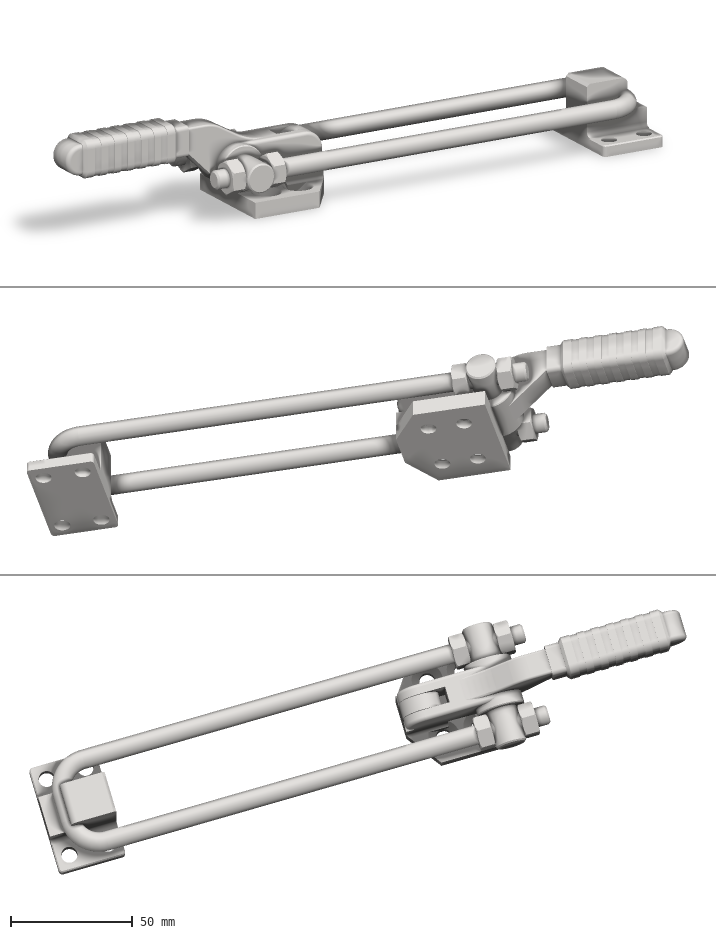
import cadquery as cq
import math

OVERALL_LENGTH = 272.88
ROD_HEIGHT = 18.0

ROD_DIAMETER = 7.99
LEG_X = 17.7
ROD_TIP_Y = -18.0
ROD_TIP_CHAMFER = 0.8
BEND_RADIUS = 12.0

CATCH_END_Y = 192.1
CATCH_WIDTH = 45.5
CATCH_LENGTH = 28.3
CATCH_HEIGHT = 27.5
FLANGE_THICKNESS = 4.9
FLANGE_CORNER_RADIUS = 1.5
FLANGE_EDGE_CHAMFER = 0.5
BLOCK_WIDTH = 17.2
BLOCK_FOOT_FILLET = 2.0
SHELF_EDGE_HEIGHT = 13.2
LIP_SETBACK = 9.1
LIP_FILLET = 2.5
BLOCK_BACK_CHAMFER = 1.2
GROOVE_RADIUS = 4.25
ROD_SETBACK = 9.6
GROOVE_OFFSET = 0.3
CATCH_HOLE_DIAMETER = 6.65
CATCH_HOLE_X = 16.5
CATCH_HOLE_PITCH = 16.5

TRUNNION_DIAMETER = 12.7
TRUNNION_LENGTH = 51.5
TRUNNION_CHAMFER = 0.6
COLLAR_DIAMETER = 20.0
COLLAR_OUTER_X = 10.5
COLLAR_CHAMFER = 0.4
ROD_HOLE_DIAMETER = 8.0

NUT_ACROSS_FLATS = 13.0
NUT_BORE = 8.0
NUT_THICKNESS = 6.3
NUT_CHAMFER_ANGLE = 30.0

BASE_FRONT_Y = -1.3
BASE_BACK_Y = 39.7
BASE_WIDTH = 45.5
BASE_THICKNESS = 7.0
BASE_BACK_HALF_WIDTH = 7.9
BASE_SHOULDER_Y = 29.1
BASE_HOLE_DIAMETER = 6.5
BASE_SINK_DIAMETER = 12.7
BASE_HOLE_X = 12.2
BASE_HOLE_YS = (10.0, 25.0)
SINK_ANGLE = 90.0
PAD_WIDTH = 17.2
PAD_BACK_Y = 10.3
PEDESTAL_WIDTH = 15.6
PEDESTAL_TOP_Z = 14.2
PEDESTAL_FOOT_FILLET = 1.3
PEDESTAL_FRONT_Y = 21.9

PIVOT_Y = 31.3
PIVOT_Z = 19.6
PIVOT_PIN_DIAMETER = 6.3
TONGUE_WIDTH = 6.4

LEVER_NOSE_RADIUS = 8.3
LEVER_WIDTH = 15.6
LEVER_EDGE_FILLET = 1.5
BOSS_WIDTH = 17.2
BOSS_RADIUS = COLLAR_DIAMETER / 2
LEVER_TOP_Z = PIVOT_Z + LEVER_NOSE_RADIUS
WIDE_ARM_END_FILLET = 2.5
SLOT_WIDTH = 6.8
SLOT_FRONT_Y = 19.9
WEB_WIDTH = 10.6
WEB_EDGE_FILLET = 0.9
BEND_ANGLE = 30.0
LOWER_BEND_START_Y = 13.4
LOWER_BEND_END_Y = 0.2
UPPER_BEND_START_Y = -7.2
UPPER_BEND_END_Y = -14.6
TANG_BOTTOM_Z = 26.6
TANG_END_Y = -72.0

GRIP_START_Y = -23.3
GRIP_BODY_START_Y = -29.3
GRIP_END_Y = CATCH_END_Y - OVERALL_LENGTH
GRIP_TOP_Z = 40.51
GRIP_WIDTH = 16.1
GRIP_HEIGHT = 16.5
GRIP_EDGE_FILLET = 3.35
GRIP_BODY_END_Y = -73.5
GRIP_BODY_CHAMFER = 1.3
COLLAR_STEP = 1.65
GROOVE_DEPTH = 0.3
GROOVE_WIDTH = 3.12
GROOVE_COUNT = 6
FIRST_GROOVE_Y = -34.3

ROD_Y = CATCH_END_Y - ROD_SETBACK
CATCH_FRONT_Y = CATCH_END_Y - CATCH_LENGTH


def box(x_size, y_min, y_max, z_min, z_max):
    """Box centred on x = 0."""
    center = (0, (y_min + y_max) / 2, (z_min + z_max) / 2)
    return cq.Workplane("XY").box(x_size, y_max - y_min, z_max - z_min).translate(center)


def cross_cylinder(diameter, length, y, z):
    """Cylinder along X, centred on x = 0."""
    return cq.Workplane("YZ").center(y, z).circle(diameter / 2).extrude(length / 2, both=True)


def flared_foot(width, radius, plate_top, y_min, y_max):
    """Foot of an upright, with hollow fillets running along Y down to the plate."""
    top = plate_top + radius
    outer_x = width / 2 + radius
    foot = box(2 * outer_x, y_min, y_max, 0, top)
    hollows = (
        cq.Workplane("XZ", origin=(0, y_max, top))
        .pushPoints([(-outer_x, 0), (outer_x, 0)])
        .circle(radius).extrude(y_max - y_min)
    )
    return foot.cut(hollows)


def make_catch():
    middle_y = (CATCH_END_Y + CATCH_FRONT_Y) / 2
    flange = box(CATCH_WIDTH, CATCH_FRONT_Y, CATCH_END_Y, 0, FLANGE_THICKNESS)
    flange = flange.edges("|Z").fillet(FLANGE_CORNER_RADIUS)
    flange = flange.faces(">Z").edges().chamfer(FLANGE_EDGE_CHAMFER)
    holes = (
        cq.Workplane("XY").center(0, middle_y)
        .rarray(2 * CATCH_HOLE_X, CATCH_HOLE_PITCH, 2, 2)
        .circle(CATCH_HOLE_DIAMETER / 2).extrude(FLANGE_THICKNESS)
    )
    groove_y = ROD_Y - GROOVE_OFFSET
    block = (
        cq.Workplane("YZ")
        .moveTo(CATCH_FRONT_Y, 0)
        .lineTo(CATCH_END_Y, 0)
        .lineTo(CATCH_END_Y, SHELF_EDGE_HEIGHT)
        .lineTo(groove_y, ROD_HEIGHT - GROOVE_RADIUS)
        .threePointArc((groove_y - GROOVE_RADIUS, ROD_HEIGHT), (groove_y, ROD_HEIGHT + GROOVE_RADIUS))
        .lineTo(CATCH_END_Y - LIP_SETBACK, ROD_HEIGHT + GROOVE_RADIUS)
        .lineTo(CATCH_END_Y - LIP_SETBACK, CATCH_HEIGHT)
        .lineTo(CATCH_FRONT_Y, CATCH_HEIGHT)
        .close()
        .extrude(BLOCK_WIDTH / 2, both=True)
    )
    block = block.faces(">Z").edges(">Y").fillet(LIP_FILLET)
    block = block.faces(">Z").edges("<Y").chamfer(BLOCK_BACK_CHAMFER)
    foot = flared_foot(BLOCK_WIDTH, BLOCK_FOOT_FILLET, FLANGE_THICKNESS, CATCH_FRONT_Y, CATCH_END_Y)
    return flange.cut(holes).union(foot).union(block)


def make_u_bolt():
    bend_x = LEG_X - BEND_RADIUS
    bend_y = ROD_Y - BEND_RADIUS
    diagonal = BEND_RADIUS * math.sqrt(0.5)
    path = (
        cq.Workplane("XY", origin=(0, 0, ROD_HEIGHT))
        .moveTo(-LEG_X, ROD_TIP_Y)
        .lineTo(-LEG_X, bend_y)
        .threePointArc((-bend_x - diagonal, bend_y + diagonal), (-bend_x, ROD_Y))
        .lineTo(bend_x, ROD_Y)
        .threePointArc((bend_x + diagonal, bend_y + diagonal), (LEG_X, bend_y))
        .lineTo(LEG_X, ROD_TIP_Y)
    )
    start = cq.Workplane("XZ", origin=(-LEG_X, ROD_TIP_Y, ROD_HEIGHT)).circle(ROD_DIAMETER / 2)
    return start.sweep(path).faces("<Y").edges().chamfer(ROD_TIP_CHAMFER)


def make_trunnion():
    pin = cross_cylinder(TRUNNION_DIAMETER, TRUNNION_LENGTH, 0, ROD_HEIGHT)
    pin = pin.faces("<X or >X").edges().chamfer(TRUNNION_CHAMFER)
    collar = cross_cylinder(COLLAR_DIAMETER, 2 * COLLAR_OUTER_X, 0, ROD_HEIGHT)
    collar = collar.faces("<X or >X").edges().chamfer(COLLAR_CHAMFER)
    boss_space = cross_cylinder(COLLAR_DIAMETER, BOSS_WIDTH, 0, ROD_HEIGHT)
    rod_holes = (
        cq.Workplane("XZ", origin=(0, 0, ROD_HEIGHT))
        .pushPoints([(-LEG_X, 0), (LEG_X, 0)])
        .circle(ROD_HOLE_DIAMETER / 2).extrude(TRUNNION_DIAMETER, both=True)
    )
    return pin.union(collar.cut(boss_space)).cut(rod_holes)


def make_nut(x, direction):
    """Nut clamped against the +Y (direction 1) or -Y (direction -1) side of the trunnion."""
    across_corners = NUT_ACROSS_FLATS / math.cos(math.radians(30))
    corner_drop = (across_corners - NUT_ACROSS_FLATS) / 2 * math.tan(math.radians(NUT_CHAMFER_ANGLE))
    blank = cq.Workplane("XY").polygon(6, across_corners).extrude(NUT_THICKNESS)
    envelope = (
        cq.Workplane("XZ")
        .moveTo(0, 0)
        .lineTo(NUT_ACROSS_FLATS / 2, 0)
        .lineTo(across_corners / 2, corner_drop)
        .lineTo(across_corners / 2, NUT_THICKNESS - corner_drop)
        .lineTo(NUT_ACROSS_FLATS / 2, NUT_THICKNESS)
        .lineTo(0, NUT_THICKNESS)
        .close()
        .revolve(360, (0, 0, 0), (0, 1, 0))
    )
    bore = cq.Workplane("XY").circle(NUT_BORE / 2).extrude(NUT_THICKNESS)
    nut = blank.intersect(envelope).cut(bore).rotate((0, 0, 0), (0, 0, 1), 30)
    nut = nut.rotate((0, 0, 0), (1, 0, 0), -90 * direction)
    return nut.translate((x, direction * TRUNNION_DIAMETER / 2, ROD_HEIGHT))


def make_base():
    half_width = BASE_WIDTH / 2
    plate = (
        cq.Workplane("XY")
        .polyline([
            (-half_width, BASE_FRONT_Y),
            (half_width, BASE_FRONT_Y),
            (half_width, BASE_SHOULDER_Y),
            (BASE_BACK_HALF_WIDTH, BASE_BACK_Y),
            (-BASE_BACK_HALF_WIDTH, BASE_BACK_Y),
            (-half_width, BASE_SHOULDER_Y),
        ])
        .close()
        .extrude(BASE_THICKNESS)
    )
    sink_depth = (BASE_SINK_DIAMETER - BASE_HOLE_DIAMETER) / 2 / math.tan(math.radians(SINK_ANGLE / 2))
    screw_space = (
        cq.Workplane("XZ")
        .lineTo(BASE_HOLE_DIAMETER / 2, 0)
        .lineTo(BASE_HOLE_DIAMETER / 2, BASE_THICKNESS - sink_depth)
        .lineTo(BASE_SINK_DIAMETER / 2, BASE_THICKNESS)
        .lineTo(0, BASE_THICKNESS)
        .close()
        .revolve(360, (0, 0, 0), (0, 1, 0))
    )
    drilled_plate = plate
    for side in (-1, 1):
        for hole_y in BASE_HOLE_YS:
            drilled_plate = drilled_plate.cut(screw_space.translate((side * BASE_HOLE_X, hole_y, 0)))
    foot = flared_foot(PEDESTAL_WIDTH, PEDESTAL_FOOT_FILLET, BASE_THICKNESS, PEDESTAL_FRONT_Y, BASE_BACK_Y)
    outline = plate.faces("<Z").wires().toPending().extrude(PEDESTAL_TOP_Z, combine=False)
    pedestal = box(PEDESTAL_WIDTH, PEDESTAL_FRONT_Y, BASE_BACK_Y, BASE_THICKNESS, PEDESTAL_TOP_Z)
    pedestal = pedestal.cut(make_wide_arm())
    tongue_radius = BASE_BACK_Y - PIVOT_Y
    tongue = (
        cq.Workplane("YZ")
        .moveTo(PIVOT_Y - tongue_radius, BASE_THICKNESS)
        .lineTo(PIVOT_Y - tongue_radius, PIVOT_Z)
        .threePointArc((PIVOT_Y, PIVOT_Z + tongue_radius), (BASE_BACK_Y, PIVOT_Z))
        .lineTo(BASE_BACK_Y, BASE_THICKNESS)
        .close()
        .extrude(TONGUE_WIDTH / 2, both=True)
    )
    pin = cross_cylinder(PIVOT_PIN_DIAMETER, LEVER_WIDTH, PIVOT_Y, PIVOT_Z)
    pad = box(PAD_WIDTH, 0, PAD_BACK_Y, BASE_THICKNESS, ROD_HEIGHT - BOSS_RADIUS)
    upright = pedestal.union(foot.intersect(outline))
    return drilled_plate.union(upright).union(tongue).union(pin).union(pad)


def tangent_point(y, z, radius, angle):
    """Point at the given angle from +Y on a circle in the YZ plane."""
    return (y + radius * math.cos(angle), z + radius * math.sin(angle))


def make_wide_arm():
    """Fork arm from the round nose at the pivot to the boss around the trunnion."""
    span = math.hypot(PIVOT_Y, PIVOT_Z - ROD_HEIGHT)
    slope = math.atan2(PIVOT_Z - ROD_HEIGHT, PIVOT_Y)
    lower_angle = slope - math.pi / 2 + math.asin((BOSS_RADIUS - LEVER_NOSE_RADIUS) / span)
    boss_contact = tangent_point(0, ROD_HEIGHT, BOSS_RADIUS, lower_angle)
    arm = (
        cq.Workplane("YZ")
        .moveTo(boss_contact[0], LEVER_TOP_Z)
        .lineTo(PIVOT_Y, LEVER_TOP_Z)
        .threePointArc((PIVOT_Y + LEVER_NOSE_RADIUS, PIVOT_Z),
                       tangent_point(PIVOT_Y, PIVOT_Z, LEVER_NOSE_RADIUS, lower_angle))
        .lineTo(*boss_contact)
        .close()
        .extrude(LEVER_WIDTH / 2, both=True)
    )
    arm = arm.faces(">Z").edges("|Y").fillet(LEVER_EDGE_FILLET)
    rounded_plan = box(LEVER_WIDTH, boss_contact[0], BASE_BACK_Y, 0, GRIP_TOP_Z)
    rounded_plan = rounded_plan.faces("<Y").edges("|Z").fillet(WIDE_ARM_END_FILLET)
    return arm.intersect(rounded_plan)


def make_web():
    """Narrow cranked plate from the fork arm, over the trunnion, back along the handle."""
    bend = math.radians(BEND_ANGLE)
    lower_radius = (LOWER_BEND_START_Y - LOWER_BEND_END_Y) / math.sin(bend)
    upper_radius = (UPPER_BEND_START_Y - UPPER_BEND_END_Y) / math.sin(bend)
    lower_center_z = LEVER_TOP_Z + lower_radius
    ramp_start = tangent_point(LOWER_BEND_START_Y, lower_center_z, lower_radius, -math.pi / 2 - bend)
    ramp_end_z = ramp_start[1] + (LOWER_BEND_END_Y - UPPER_BEND_START_Y) * math.tan(bend)
    upper_center_z = ramp_end_z - upper_radius * math.cos(bend)
    handle_top_z = upper_center_z + upper_radius
    boss_contact = tangent_point(0, ROD_HEIGHT, BOSS_RADIUS, math.radians(225))
    ramp_rise = TANG_BOTTOM_Z - boss_contact[1]
    web = (
        cq.Workplane("YZ")
        .moveTo(LOWER_BEND_START_Y, ROD_HEIGHT)
        .lineTo(LOWER_BEND_START_Y, LEVER_TOP_Z)
        .threePointArc(
            tangent_point(LOWER_BEND_START_Y, lower_center_z, lower_radius, -math.pi / 2 - bend / 2),
            ramp_start,
        )
        .lineTo(UPPER_BEND_START_Y, ramp_end_z)
        .threePointArc(
            tangent_point(UPPER_BEND_END_Y, upper_center_z, upper_radius, math.pi / 2 - bend / 2),
            (UPPER_BEND_END_Y, handle_top_z),
        )
        .lineTo(TANG_END_Y, handle_top_z)
        .lineTo(TANG_END_Y, TANG_BOTTOM_Z)
        .lineTo(boss_contact[0] - ramp_rise, TANG_BOTTOM_Z)
        .lineTo(*boss_contact)
        .lineTo(0, ROD_HEIGHT)
        .close()
        .extrude(WEB_WIDTH / 2, both=True)
    )
    top_edges = cq.selectors.BoxSelector(
        (-WEB_WIDTH, TANG_END_Y + 1, LEVER_TOP_Z), (WEB_WIDTH, LOWER_BEND_START_Y, GRIP_TOP_Z)
    )
    return web.edges(top_edges).edges("not |X").fillet(WEB_EDGE_FILLET)


def make_lever():
    boss = cross_cylinder(2 * BOSS_RADIUS, BOSS_WIDTH, 0, ROD_HEIGHT)
    slot = box(SLOT_WIDTH, SLOT_FRONT_Y, BASE_BACK_Y, 0, GRIP_TOP_Z)
    pin_hole = cross_cylinder(PIVOT_PIN_DIAMETER, BOSS_WIDTH, PIVOT_Y, PIVOT_Z)
    trunnion_hole = cross_cylinder(TRUNNION_DIAMETER, BOSS_WIDTH, 0, ROD_HEIGHT)
    lever = boss.union(make_wide_arm()).union(make_web())
    return lever.cut(slot).cut(pin_hole).cut(trunnion_hole)


def grip_block(inset, y_min, y_max):
    """Rounded stretch of grip, set in evenly all around from the full grip section."""
    z_min = GRIP_TOP_Z - GRIP_HEIGHT + inset
    block = box(GRIP_WIDTH - 2 * inset, y_min, y_max, z_min, GRIP_TOP_Z - inset)
    return block.edges("|Y").fillet(GRIP_EDGE_FILLET - inset)


def make_grip(lever):
    end_radius = GRIP_HEIGHT / 2 - COLLAR_STEP
    end_center_y = GRIP_END_Y + end_radius
    collar = grip_block(COLLAR_STEP, end_center_y, GRIP_START_Y)
    body = grip_block(0, GRIP_BODY_END_Y, GRIP_BODY_START_Y)
    body = body.faces("<Y or >Y").edges().chamfer(GRIP_BODY_CHAMFER)
    for index in range(GROOVE_COUNT):
        groove_end = FIRST_GROOVE_Y - 2 * GROOVE_WIDTH * index
        groove_start = groove_end - GROOVE_WIDTH
        ring = box(2 * GRIP_WIDTH, groove_start, groove_end, 0, 2 * GRIP_TOP_Z)
        body = body.cut(ring.cut(grip_block(GROOVE_DEPTH, groove_start, groove_end)))
    cap_width = GRIP_WIDTH - 2 * COLLAR_STEP
    cap = cross_cylinder(2 * end_radius, cap_width, end_center_y, GRIP_TOP_Z - GRIP_HEIGHT / 2)
    cap = cap.edges().fillet(GRIP_EDGE_FILLET - COLLAR_STEP)
    return collar.union(body).union(cap).cut(lever)


catch = make_catch()
u_bolt = make_u_bolt()
trunnion = make_trunnion()
nuts = [make_nut(x, direction) for x in (-LEG_X, LEG_X) for direction in (-1, 1)]
base = make_base()
lever = make_lever()
grip = make_grip(lever)

result = cq.Compound.makeCompound([
    catch.val(),
    u_bolt.val(),
    trunnion.val(),
    *[nut.val() for nut in nuts],
    base.val(),
    lever.val(),
    grip.val(),
])